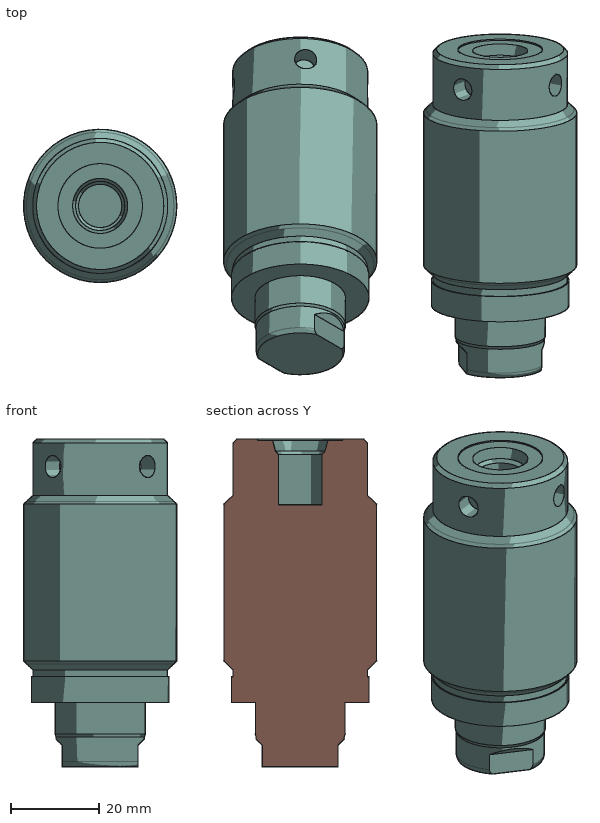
import cadquery as cq

total_height = 74.3
tip_round_top = 1.2
flat_top = 4.9
shank_bevel_bottom = 6.75
shank_bevel_top = 7.4
flange_bottom = 14.55
flange_top = 20.4
lower_cone_bottom = 22.0
cone_height = 2.0
cone_rim_height = 0.7
collar_bottom = 61.5
top_chamfer = 0.9

body_radius = 17.4
cone_rim_radius = 16.7
collar_radius = 15.3
flange_radius = 15.6
shank_radius = 10.25
tip_radius = 10.0
tip_end_radius = 9.65

flat_half_width = 8.6

insert_radius = 9.6
insert_recess = 0.3
mouth_radius = 6.25
mouth_bottom_radius = 5.6
mouth_depth = 2.75
bore_radius = 4.9
bore_start_depth = 3.6
bore_depth = 14.85

hole_diameter = 5.0
hole_depth = 4.75
hole_height = 68.05
hole_angles = (45, 135, 225, 315)


def turned_body():
    """Revolve the outer profile, with a conical shoulder at each end of the body."""
    lower_cone_top = lower_cone_bottom + cone_height
    upper_cone_bottom = collar_bottom - cone_height
    tip_inset = tip_radius - tip_end_radius
    round_radius = (tip_round_top**2 + tip_inset**2) / (2 * tip_inset)
    round_mid_height = tip_round_top / 2
    round_mid_radius = tip_radius - round_radius + (round_radius**2 - round_mid_height**2) ** 0.5
    return (
        cq.Workplane("XZ")
        .lineTo(tip_end_radius, 0)
        .threePointArc((round_mid_radius, tip_round_top - round_mid_height), (tip_radius, tip_round_top))
        .lineTo(tip_radius, shank_bevel_bottom)
        .lineTo(shank_radius, shank_bevel_top)
        .lineTo(shank_radius, flange_bottom)
        .lineTo(flange_radius, flange_bottom)
        .lineTo(flange_radius, flange_top)
        .lineTo(collar_radius, flange_top)
        .lineTo(collar_radius, lower_cone_bottom)
        .lineTo(cone_rim_radius, lower_cone_top - cone_rim_height)
        .lineTo(body_radius, lower_cone_top)
        .lineTo(body_radius, upper_cone_bottom)
        .lineTo(cone_rim_radius, upper_cone_bottom + cone_rim_height)
        .lineTo(collar_radius, collar_bottom)
        .lineTo(collar_radius, total_height - top_chamfer)
        .lineTo(collar_radius - top_chamfer, total_height)
        .lineTo(0, total_height)
        .close()
        .revolve(360, (0, 0, 0), (0, 1, 0))
    )


def top_bore():
    """Recessed insert face with a tapered mouth leading into a blind bore."""
    insert_face = total_height - insert_recess
    return (
        cq.Workplane("XZ")
        .moveTo(0, total_height)
        .lineTo(insert_radius, total_height)
        .lineTo(insert_radius, insert_face)
        .lineTo(mouth_radius, insert_face)
        .lineTo(mouth_bottom_radius, total_height - mouth_depth)
        .lineTo(bore_radius, total_height - bore_start_depth)
        .lineTo(bore_radius, total_height - bore_depth)
        .lineTo(0, total_height - bore_depth)
        .close()
        .revolve(360, (0, 0, 0), (0, 1, 0))
    )


def wrench_flat(side):
    """Cutter for one flat on the +X or -X side, running out at 45 degrees."""
    runout = shank_radius - flat_half_width
    return (
        cq.Workplane("XZ")
        .moveTo(side * flat_half_width, 0)
        .lineTo(side * flat_half_width, flat_top)
        .lineTo(side * shank_radius, flat_top + runout)
        .lineTo(side * shank_radius, 0)
        .close()
        .extrude(shank_radius, both=True)
    )


def spanner_hole(angle):
    """Cutter for one blind radial hole with a flat floor."""
    return (
        cq.Workplane("YZ", origin=(collar_radius - hole_depth, 0, hole_height))
        .circle(hole_diameter / 2)
        .extrude(2 * hole_depth)
        .rotate((0, 0, 0), (0, 0, 1), angle)
    )


result = turned_body().cut(top_bore())
for side in (-1, 1):
    result = result.cut(wrench_flat(side))
for angle in hole_angles:
    result = result.cut(spanner_hole(angle))